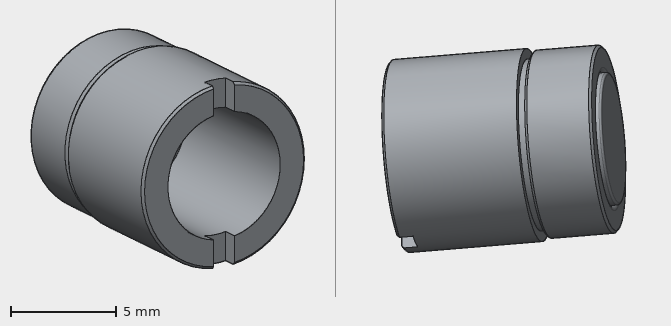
import cadquery as cq

total_length = 10.4

barrel_radius = 4.62
nose_radius = 4.5
neck_radius = 4.12
nose_front = 0.25
nose_length = 3.25
neck_length = 0.35
edge_chamfer = 0.12
spanner_slot_width = 1.18
spanner_slot_depth = 0.78
bore_lip_round = 0.25

lens_radius = 3.17
lens_thickness = 2.08
lens_edge_round = 0.11

nose_back = nose_front + nose_length
barrel_front = nose_back + neck_length


def rod(x_start, x_end, radius):
    """Round rod on the X axis between two stations."""
    return cq.Workplane("YZ").workplane(offset=x_start).circle(radius).extrude(x_end - x_start)


def make_housing():
    nose = rod(nose_front, nose_back, nose_radius).edges().chamfer(edge_chamfer)
    neck = rod(nose_back, barrel_front, neck_radius)
    barrel = rod(barrel_front, total_length, barrel_radius).edges(">X").chamfer(edge_chamfer)
    body = nose.union(neck).union(barrel)

    body = body.cut(rod(nose_front, total_length, lens_radius))
    bore_lip = cq.selectors.RadiusNthSelector(0)
    body = body.faces("<X").edges(bore_lip).fillet(bore_lip_round)

    slot = cq.Workplane("XY").box(
        spanner_slot_depth, spanner_slot_width, 2 * barrel_radius, centered=(False, True, True)
    )
    return body.cut(slot.translate((total_length - spanner_slot_depth, 0, 0)))


def make_lens():
    return rod(0, lens_thickness, lens_radius).edges("<X").fillet(lens_edge_round)


housing = make_housing().solids()
lens = make_lens().solids()

result = cq.Compound.makeCompound([housing.val(), lens.val()])